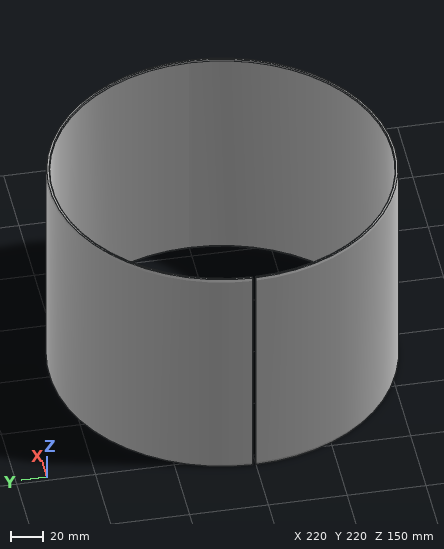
import cadquery as cq

outer_diameter = 220.0
height = 150.0
wall = 2.5

bevel_height = 2.0
bevel_depth = 0.6

inner_bevel_height = 0.9
inner_bevel_depth = 0.5

slit_width = 2.0
slit_center_y = slit_width / 2

outer_radius = outer_diameter / 2
inner_radius = outer_radius - wall
rim_radius = outer_radius - bevel_depth
half_height = height / 2
bevel_start = half_height - bevel_height
inner_rim_radius = inner_radius + inner_bevel_depth
inner_bevel_start = half_height - inner_bevel_height


def make_sleeve():
    """Revolve the bevelled wall section around Z."""
    section = [
        (inner_radius, -inner_bevel_start),
        (inner_rim_radius, -half_height),
        (rim_radius, -half_height),
        (outer_radius, -bevel_start),
        (outer_radius, bevel_start),
        (rim_radius, half_height),
        (inner_rim_radius, half_height),
        (inner_radius, inner_bevel_start),
    ]
    return cq.Workplane("XZ").polyline(section).close().revolve(360, (0, 0), (0, 1))


def make_slit():
    """Full-height cutter reaching from the axis out past the -X wall."""
    return (
        cq.Workplane("XY")
        .box(outer_diameter, slit_width, height)
        .translate((-outer_radius, slit_center_y, 0))
    )


result = make_sleeve().cut(make_slit())